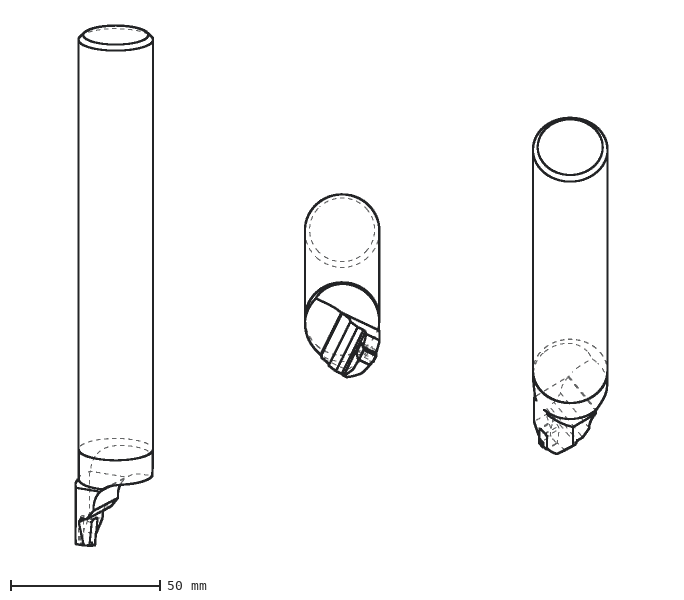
import cadquery as cq
import math


total_length = 180.0
shank_radius = 25.0 / 2
neck_radius = 24.8 / 2
neck_top = 35.0
top_chamfer = 1.6

blade_back = 3.8
blade_front = -13.0
blade_corner_x = -8.0
blade_right_x = 1.8
blade_left_x = -shank_radius
ledge_top = 24.5
ledge_bottom = 23.8

back_relief_radius = 8.6
back_relief_center_z = 24.0

face_z = 26.3
side_relief_radius = 8.6
side_relief_x = -1.3
step_corner_z = 16.7
step_x = -4.0
step_z = 13.3
web_x = -6.1
web_shoulder_x = -6.8
web_shoulder_z = 11.9
web_bottom_x = -8.1

back_slope_z = 8.6
front_slope_z = 11.5
tip_y = -7.7
tip_z = 2.0
tip_round = 2.7

head_protrusion = 0.2
insert_back = 0.2
insert_front = -3.8
insert_top = 10.0
insert_corner = 0.7
insert_front_z = 0.9
blade_overhang = 0.4
seat_open_z = 4.1
head_left = blade_left_x - head_protrusion
head_right = -8.0
head_top = 3.0
head_front = -2.2
head_chamfer = 0.5

clear = 36.0


def left_wall_radius():
    """Radius of the arc, centred on y = 0, from the leftmost point to the front corner."""
    sagitta = blade_corner_x - blade_left_x
    return (blade_front**2 + sagitta**2) / (2 * sagitta)


def arc_x(radius, center_x, y):
    """X of the left half of a circle centred on y = 0."""
    return center_x - math.sqrt(radius**2 - y**2)


def prism_yz(outline):
    """Extrude a closed YZ outline across the whole width of the bar."""
    return outline.close().extrude(clear, both=True)


def blade_outline(z):
    """Blade section with its curved left wall and flat front."""
    radius = left_wall_radius()
    back_left_x = arc_x(radius, blade_left_x + radius, blade_back)
    return (
        cq.Workplane("XY", origin=(0, 0, z))
        .moveTo(back_left_x, blade_back)
        .threePointArc((blade_left_x, 0), (blade_corner_x, blade_front))
        .lineTo(blade_right_x, blade_front)
        .lineTo(blade_right_x, blade_back)
        .close()
    )


def neck_outline(z):
    """Part of the round neck section that lies over the blade."""
    corner_distance = math.hypot(blade_corner_x, blade_front)
    corner_x = neck_radius * blade_corner_x / corner_distance
    corner_y = neck_radius * blade_front / corner_distance
    right_y = -math.sqrt(neck_radius**2 - blade_right_x**2)
    middle_x = (corner_x + blade_right_x) / 2
    middle_y = -math.sqrt(neck_radius**2 - middle_x**2)
    return (
        cq.Workplane("XY", origin=(0, 0, z))
        .moveTo(arc_x(neck_radius, 0, blade_back), blade_back)
        .threePointArc((-neck_radius, 0), (corner_x, corner_y))
        .threePointArc((middle_x, middle_y), (blade_right_x, right_y))
        .lineTo(blade_right_x, blade_back)
        .close()
    )


def make_shank():
    shank = (
        cq.Workplane("XY", origin=(0, 0, neck_top))
        .circle(shank_radius)
        .extrude(total_length - neck_top)
        .faces(">Z")
        .chamfer(top_chamfer)
    )
    neck = cq.Workplane("XY", origin=(0, 0, ledge_top)).circle(neck_radius).extrude(neck_top - ledge_top)
    return shank.union(neck)


def make_ledge():
    """Sloping ledge between the round neck and the larger blade section."""
    upper = neck_outline(ledge_top).wires().val()
    lower = blade_outline(ledge_bottom).wires().val()
    return cq.Workplane(cq.Solid.makeLoft([lower, upper], True))


def make_tip_outline():
    """Tapered blade tip with rounded corners along its front slope."""
    tip = prism_yz(
        cq.Workplane("YZ")
        .moveTo(blade_back, ledge_bottom)
        .lineTo(blade_back, back_slope_z)
        .lineTo(insert_back, seat_open_z)
        .lineTo(insert_back, insert_front_z)
        .lineTo(insert_front, insert_front_z + blade_overhang)
        .lineTo(tip_y, tip_z)
        .lineTo(blade_front, front_slope_z)
        .lineTo(blade_front, ledge_bottom)
    )
    for y, z in ((blade_front, front_slope_z), (tip_y, tip_z)):
        tip = tip.edges(cq.selectors.NearestToPointSelector((0, y, z))).fillet(tip_round)
    return tip


def make_back_relief():
    """Flat behind the blade that sweeps out to the back of the neck in an arc."""
    center_y = blade_back + back_relief_radius
    diagonal = back_relief_radius * math.sqrt(0.5)
    return prism_yz(
        cq.Workplane("YZ")
        .moveTo(blade_back, -clear)
        .lineTo(blade_back, back_relief_center_z)
        .threePointArc(
            (center_y - diagonal, back_relief_center_z + diagonal),
            (center_y, back_relief_center_z + back_relief_radius),
        )
        .lineTo(clear, back_relief_center_z + back_relief_radius)
        .lineTo(clear, -clear)
    )


def make_side_relief():
    """Stepped and curved clearance to the right of the blade."""
    center_x = side_relief_x + side_relief_radius
    center_z = face_z - side_relief_radius
    diagonal = side_relief_radius * math.sqrt(0.5)
    return (
        cq.Workplane("XZ")
        .moveTo(clear, face_z)
        .lineTo(center_x, face_z)
        .threePointArc((center_x - diagonal, center_z + diagonal), (side_relief_x, center_z))
        .lineTo(side_relief_x, step_corner_z)
        .lineTo(step_x, step_z)
        .lineTo(web_x, step_z)
        .lineTo(web_shoulder_x, web_shoulder_z)
        .lineTo(web_bottom_x, 0)
        .lineTo(clear, 0)
        .close()
        .extrude(clear, both=True)
    )


def make_seat():
    """Space filled by the stem of the insert, through the thickness of the blade."""
    return prism_yz(
        cq.Workplane("YZ")
        .moveTo(insert_back, 0)
        .lineTo(insert_back, insert_top - insert_corner)
        .lineTo(insert_back - insert_corner, insert_top)
        .lineTo(insert_front + insert_corner, insert_top)
        .lineTo(insert_front, insert_top - insert_corner)
        .lineTo(insert_front, insert_front_z)
    )


def make_bar():
    blade = blade_outline(0).extrude(ledge_bottom).intersect(make_tip_outline())
    bar = make_shank().union(make_ledge()).union(blade)
    return bar.cut(make_back_relief()).cut(make_side_relief()).cut(make_seat())


def make_insert():
    """Stem flush with the blade, and a slightly wider cutting head at its end."""
    seat = make_seat()
    stem = blade_outline(0).extrude(ledge_bottom).intersect(seat).cut(make_side_relief())
    head = (
        cq.Workplane("XY")
        .moveTo(head_left, head_front)
        .lineTo(head_right, head_front)
        .lineTo(head_right, insert_back)
        .lineTo(head_left, insert_back)
        .close()
        .extrude(head_top)
        .edges("|Y and <Z")
        .chamfer(head_chamfer)
        .intersect(seat)
    )
    return stem.union(head)


bar = make_bar()
insert = make_insert()
result = cq.Compound.makeCompound([bar.val(), insert.val()])